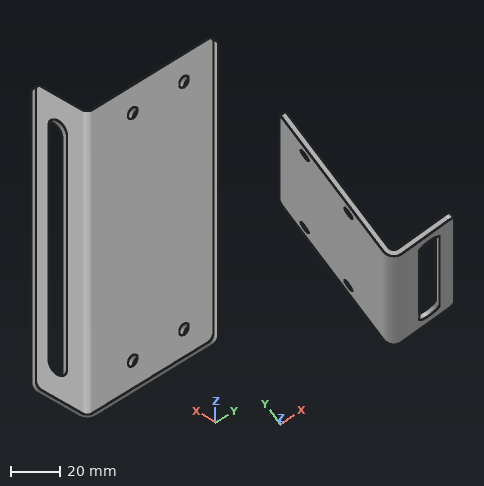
import cadquery as cq

flange_width = 31.7
plate_width = 76.2
height = 152.4

thickness = 2.7
bend_outer_radius = 5.5
bend_inner_radius = bend_outer_radius - thickness
corner_radius = 3.0

slot_width = 10.2
slot_length = 127.4
slot_x = 19.4

hole_diameter = 5.3
hole_spacing_y = 29.9
hole_spacing_z = 124.2
first_hole_y = 29.1


def bent_sheet():
    """L profile with a rounded bend at the origin, standing along Z."""
    profile = (
        cq.Workplane("XY")
        .polyline([
            (0, 0),
            (flange_width, 0),
            (flange_width, thickness),
            (thickness, thickness),
            (thickness, plate_width),
            (0, plate_width),
        ])
        .close()
        .extrude(height)
    )
    outer_edge = cq.selectors.NearestToPointSelector((0, 0, height / 2))
    inner_edge = cq.selectors.NearestToPointSelector((thickness, thickness, height / 2))
    bent = profile.edges("|Z").edges(outer_edge).fillet(bend_outer_radius)
    return bent.edges("|Z").edges(inner_edge).fillet(bend_inner_radius)


def round_free_corners(sheet):
    """Round the top and bottom corners at the free end of each leg."""
    sheet = sheet.faces(">X").edges("|Y").fillet(corner_radius)
    return sheet.faces(">Y").edges("|X").fillet(corner_radius)


def flange_slot():
    """Vertical slot through the narrow flange, centred in height."""
    return (
        cq.Workplane("XZ")
        .center(slot_x, height / 2)
        .slot2D(slot_length, slot_width, 90)
        .extrude(-thickness)
    )


def plate_holes():
    """Two by two pattern of holes through the wide plate."""
    return (
        cq.Workplane("YZ")
        .center(first_hole_y + hole_spacing_y / 2, height / 2)
        .rarray(hole_spacing_y, hole_spacing_z, 2, 2)
        .circle(hole_diameter / 2)
        .extrude(thickness)
    )


result = round_free_corners(bent_sheet()).cut(flange_slot()).cut(plate_holes())